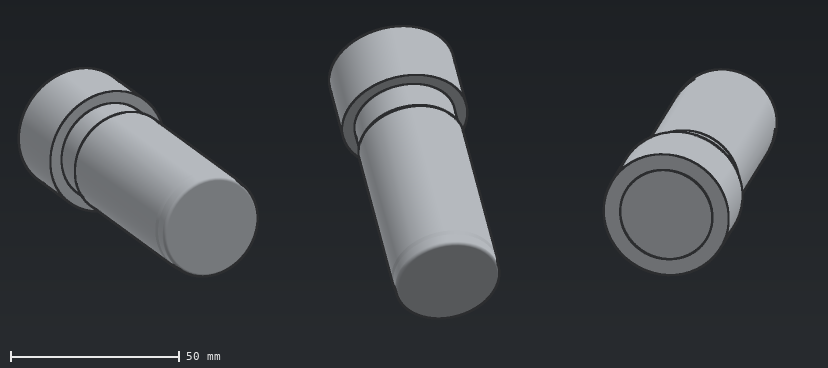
import cadquery as cq

total_length = 90.0
head_length = 21.0
head_diameter = 38.0

spigot_diameter = 28.0
spigot_recess = 0.4
neck_diameter = 30.5
neck_end = 30.0
body_diameter = 32.0
body_start = 31.2
body_end = 84.7
tip_diameter = 31.5
tip_start = 86.0
tip_round = 1.0


def cylinder_along_x(diameter, start, end):
    return cq.Workplane("YZ", origin=(start, 0, 0)).circle(diameter / 2).extrude(end - start)


def make_head():
    """Collar with a through bore that holds the shaft spigot."""
    blank = cylinder_along_x(head_diameter, 0, head_length)
    bore = cylinder_along_x(spigot_diameter, 0, head_length)
    return blank.cut(bore)


def make_shaft():
    """Turned shaft: spigot, neck, main barrel and a slightly smaller rounded tip."""
    spigot_radius = spigot_diameter / 2
    neck_radius = neck_diameter / 2
    body_radius = body_diameter / 2
    tip_radius = tip_diameter / 2
    half_profile = (
        cq.Workplane("XY")
        .moveTo(spigot_recess, 0)
        .lineTo(spigot_recess, spigot_radius)
        .lineTo(head_length, spigot_radius)
        .lineTo(head_length, neck_radius)
        .lineTo(neck_end, neck_radius)
        .lineTo(body_start, body_radius)
        .lineTo(body_end, body_radius)
        .lineTo(tip_start, tip_radius)
        .lineTo(total_length - tip_round, tip_radius)
        .tangentArcPoint((total_length, tip_radius - tip_round), relative=False)
        .lineTo(total_length, 0)
        .close()
    )
    return half_profile.revolve(360, (0, 0, 0), (1, 0, 0))


head = make_head()
shaft = make_shaft()

result = cq.Compound.makeCompound([head.val(), shaft.val()])